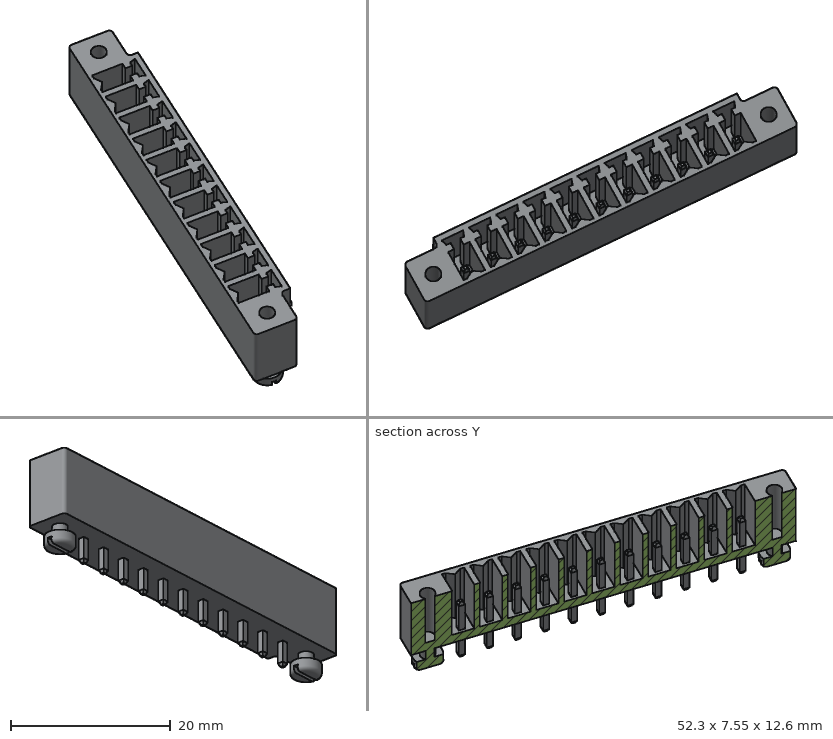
import cadquery as cq


pin_count = 11
pitch = 3.81
housing_length = 52.3
housing_height = 9.2
raised_length = 42.65
front_y = -3.0
flange_back_y = 3.0
housing_back_y = 4.35
corner_radius = 0.5

rib_projection = 0.2
rib_embed = 0.5
rib_height = 0.65
rib_top_z = 6.35

cavity_depth = 7.7
cavity_half_width = 1.5
cavity_front_y = -2.45
shoulder_y = 1.8
neck_half_width = 0.67
neck_end_y = 2.75
key_inner_half_width = 1.25
cavity_back_y = 3.55
key_ridge_half_width = 1.0
key_ridge_height = 0.65

pin_width = 0.85
pin_tip_width = 0.4
pin_taper_length = 0.45
pin_bottom_z = -3.4
pin_top_z = 6.2

screw_to_end_pin = 4.5
screw_x = (pin_count - 1) * pitch / 2 + screw_to_end_pin
insert_diameter = 4.0
bore_diameter = 2.0
shank_diameter = 2.0
head_diameter = 4.0
head_top_z = -1.4
head_bottom_z = -3.05
head_edge_radius = 0.5
slot_width = 0.6
slot_depth = 0.85

floor_z = housing_height - cavity_depth
pin_positions = [(i - (pin_count - 1) / 2) * pitch for i in range(pin_count)]


def block(length, y_min, y_max, z_min, z_max):
    """Box centred on X between the given Y and Z limits."""
    return (
        cq.Workplane("XY", origin=(0, (y_min + y_max) / 2, z_min))
        .box(length, y_max - y_min, z_max - z_min, centered=(True, True, False))
    )


def make_housing():
    """Solid housing outline: flanged block, raised rear part and back rib."""
    flange = block(housing_length, front_y, flange_back_y, 0, housing_height)
    flange = flange.edges("|Z").fillet(corner_radius)
    raised = block(raised_length, front_y, housing_back_y, 0, housing_height)
    reach_x = raised_length / 2 + corner_radius
    inner_corners = cq.selectors.BoxSelector(
        (-reach_x, flange_back_y - corner_radius, 0),
        (reach_x, flange_back_y + corner_radius, housing_height),
    )
    body = flange.union(raised).edges("|Z").edges(inner_corners).fillet(corner_radius)
    rib = block(
        raised_length, housing_back_y - rib_embed, housing_back_y + rib_projection,
        rib_top_z - rib_height, rib_top_z,
    )
    return body.union(rib)


def make_cavity(x):
    """Keyed cavity: wide chamber, narrow neck and dovetail recess at the back."""
    return (
        cq.Workplane("XY", origin=(x, 0, floor_z))
        .moveTo(-cavity_half_width, cavity_front_y)
        .lineTo(-key_ridge_half_width, cavity_front_y)
        .lineTo(0, cavity_front_y + key_ridge_height)
        .lineTo(key_ridge_half_width, cavity_front_y)
        .lineTo(cavity_half_width, cavity_front_y)
        .lineTo(cavity_half_width, shoulder_y)
        .lineTo(neck_half_width, shoulder_y)
        .lineTo(neck_half_width, neck_end_y)
        .lineTo(key_inner_half_width, neck_end_y)
        .lineTo(cavity_half_width, cavity_back_y)
        .lineTo(-cavity_half_width, cavity_back_y)
        .lineTo(-key_inner_half_width, neck_end_y)
        .lineTo(-neck_half_width, neck_end_y)
        .lineTo(-neck_half_width, shoulder_y)
        .lineTo(-cavity_half_width, shoulder_y)
        .close()
        .extrude(cavity_depth)
    )


def make_pin_tip(x, base_z, direction):
    """Tapered square end that starts at base_z and points along direction in Z."""
    return (
        cq.Workplane("XY", origin=(x, 0, base_z))
        .rect(pin_width, pin_width)
        .workplane(offset=direction * pin_taper_length)
        .rect(pin_tip_width, pin_tip_width)
        .loft()
    )


def make_pin(x):
    """Square pin through the cavity floor, tapered at both ends."""
    shank_bottom = pin_bottom_z + pin_taper_length
    shank_top = pin_top_z - pin_taper_length
    shank = block(pin_width, -pin_width / 2, pin_width / 2, shank_bottom, shank_top)
    shank = shank.translate((x, 0, 0))
    return shank.union(make_pin_tip(x, shank_bottom, -1)).union(make_pin_tip(x, shank_top, 1))


def cylinder(x, diameter, z_min, z_max):
    """Upright cylinder on the pin line at X between the given Z limits."""
    return cq.Workplane("XY", origin=(x, 0, z_min)).circle(diameter / 2).extrude(z_max - z_min)


def make_screw(x):
    """Slotted screw hanging below the housing, with its shank ending at the bore floor."""
    shank = cylinder(x, shank_diameter, head_top_z, floor_z)
    head = (
        cylinder(x, head_diameter, head_bottom_z, head_top_z)
        .faces("<Z").edges()
        .fillet(head_edge_radius)
    )
    slot = block(
        head_diameter, -slot_width / 2, slot_width / 2,
        head_bottom_z, head_bottom_z + slot_depth,
    ).translate((x, 0, 0))
    return shank.union(head.cut(slot))


def make_insert(x):
    """Round bushing, flush with the top of the housing, with a blind bore."""
    bushing = cylinder(x, insert_diameter, 0, housing_height)
    return bushing.cut(cylinder(x, bore_diameter, floor_z, housing_height))


result = make_housing()
for pin_x in pin_positions:
    result = result.cut(make_cavity(pin_x)).union(make_pin(pin_x))

for fixing_x in (-screw_x, screw_x):
    result = result.cut(cylinder(fixing_x, insert_diameter, 0, housing_height), clean=False)
    result = result.union(make_insert(fixing_x), clean=False)
    result = result.union(make_screw(fixing_x), clean=False)